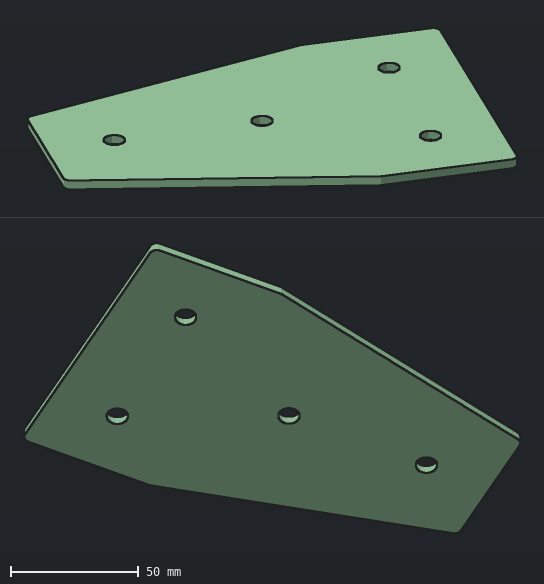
import cadquery as cq

length = 176.0
width = 116.0
thickness = 4.0
corner_radius = 3.0

narrow_width = 56.0
parallel_length = 56.0

hole_diameter = 8.3
hole_pitch = 60.0

half_width = width / 2
half_narrow = narrow_width / 2
half_length = length / 2
shoulder_y = half_length - parallel_length

outline = [
    (-half_width, half_length),
    (half_width, half_length),
    (half_width, shoulder_y),
    (half_narrow, -half_length),
    (-half_narrow, -half_length),
    (-half_width, shoulder_y),
]

hole_centres = [
    (-hole_pitch / 2, hole_pitch),
    (hole_pitch / 2, hole_pitch),
    (0, 0),
    (0, -hole_pitch),
]

plate = (
    cq.Workplane("XY")
    .polyline(outline)
    .close()
    .extrude(thickness / 2, both=True)
    .edges("|Z")
    .fillet(corner_radius)
)

hole_cutter = (
    cq.Workplane("XY")
    .pushPoints(hole_centres)
    .circle(hole_diameter / 2)
    .extrude(thickness, both=True)
)

result = plate.cut(hole_cutter)